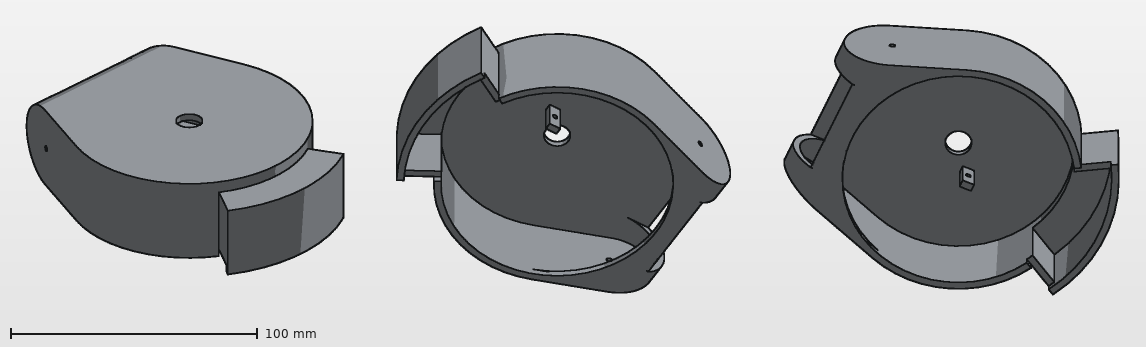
import cadquery as cq
import math

disc_diameter = 100.0
body_height = 35.0
wall = 3.0
taper_angle = 20.0
nose_reach = 64.0
window_width = 41.5
axis_hole_diameter = 10.7

tab_radius = 65.0
tab_half_angle = 30.0
tab_height = 30.0

pin_hole_diameter = 2.0
nose_pin_x = -45.5

post_length = 5.0
post_width = 3.1
post_bottom = 19.5
post_x = 8.4
post_y = 10.5

disc_radius = disc_diameter / 2
nose_radius = body_height / 2
nose_center_x = nose_radius - nose_reach
cavity_radius = disc_radius - wall
cavity_height = body_height - 2 * wall
ceiling = body_height - wall
tab_inner_radius = tab_radius - wall
tab_ceiling = tab_height - wall


def teardrop(radius, height, bottom):
    """Disc of the given radius with two tangent flanks running to the front end."""
    slope = math.radians(taper_angle)
    tangent_x = -radius * math.sin(slope)
    tangent_y = radius * math.cos(slope)
    front_y = tangent_y - (nose_reach + tangent_x) * math.tan(slope)
    return (
        cq.Workplane("XY", origin=(0, 0, bottom))
        .moveTo(-nose_reach, -front_y)
        .lineTo(tangent_x, -tangent_y)
        .threePointArc((radius, 0), (tangent_x, tangent_y))
        .lineTo(-nose_reach, front_y)
        .close()
        .extrude(height)
    )


def rounded_nose(radius):
    """Bar along Y with a half-round front end, long enough to hold the whole disc."""
    return (
        cq.Workplane("XZ", origin=(0, disc_radius, 0))
        .moveTo(disc_radius, nose_radius - radius)
        .lineTo(nose_center_x, nose_radius - radius)
        .threePointArc((nose_center_x - radius, nose_radius), (nose_center_x, nose_radius + radius))
        .lineTo(disc_radius, nose_radius + radius)
        .close()
        .extrude(2 * disc_radius)
    )


def sector(radius, height, side_inset=0.0):
    """Pie slice about +X from the bottom plane up, its straight sides moved in by side_inset."""
    half_angle = math.radians(tab_half_angle)
    apex_x = side_inset / math.sin(half_angle)
    corner_angle = half_angle - math.asin(side_inset / radius)
    corner_x = radius * math.cos(corner_angle)
    corner_y = radius * math.sin(corner_angle)
    return (
        cq.Workplane("XY")
        .moveTo(apex_x, 0)
        .lineTo(corner_x, -corner_y)
        .threePointArc((radius, 0), (corner_x, corner_y))
        .close()
        .extrude(height)
    )


def post():
    """Post hanging from the ceiling, with a pin hole along Y."""
    post_height = ceiling - post_bottom
    block = cq.Workplane("XY", origin=(post_x, post_y, post_bottom)).rect(post_length, post_width)
    block = block.extrude(post_height)
    return block.faces("<Y").workplane(centerOption="CenterOfBoundBox").hole(pin_hole_diameter)


body = teardrop(disc_radius, body_height, 0).intersect(rounded_nose(nose_radius))
body = body.union(sector(tab_radius, tab_height))

body = body.cut(sector(tab_inner_radius, tab_ceiling, wall))
body = body.cut(sector(tab_inner_radius, wall))

cavity = teardrop(cavity_radius, cavity_height, wall).intersect(rounded_nose(nose_radius - wall))
floor_opening = cq.Workplane("XY").circle(cavity_radius).extrude(ceiling)
body = body.cut(cavity).cut(floor_opening)

window = cq.Workplane("XY", origin=(nose_center_x, 0, wall))
window = window.rect(2 * nose_radius, window_width).extrude(cavity_height)
body = body.cut(window)

axis_hole = cq.Workplane("XY").circle(axis_hole_diameter / 2).extrude(body_height)
body = body.cut(axis_hole)

nose_pin = cq.Workplane("XZ", origin=(nose_pin_x, disc_radius, nose_radius))
nose_pin = nose_pin.circle(pin_hole_diameter / 2).extrude(2 * disc_radius)
body = body.cut(nose_pin)

result = body.union(post())